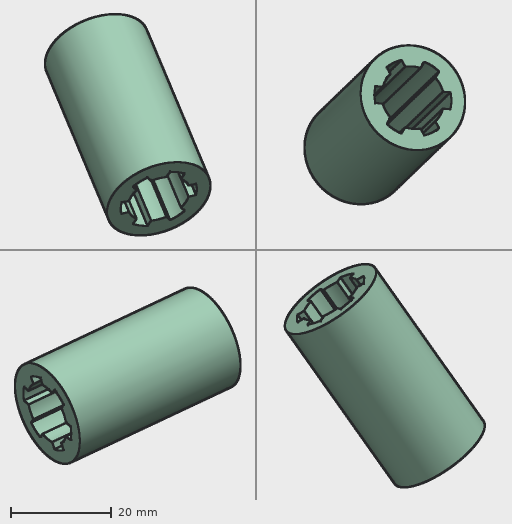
import cadquery as cq

length = 40.0
outer_diameter = 21.75
minor_diameter = 13.0
major_diameter = 16.0
groove_count = 6
groove_width = 3.5


def cylinder(diameter):
    return cq.Workplane("YZ").circle(diameter / 2).extrude(length)


def spline_bore():
    """Minor bore plus parallel-sided grooves ending on the major diameter."""
    slots = cylinder(minor_diameter)
    bar = cq.Workplane("YZ").rect(outer_diameter, groove_width).extrude(length)
    for index in range(groove_count // 2):
        angle = index * 360 / groove_count
        slots = slots.union(bar.rotate((0, 0, 0), (1, 0, 0), angle))
    return slots.intersect(cylinder(major_diameter))


sleeve = cylinder(outer_diameter).cut(spline_bore())
result = sleeve.translate((-length / 2, 0, 0))